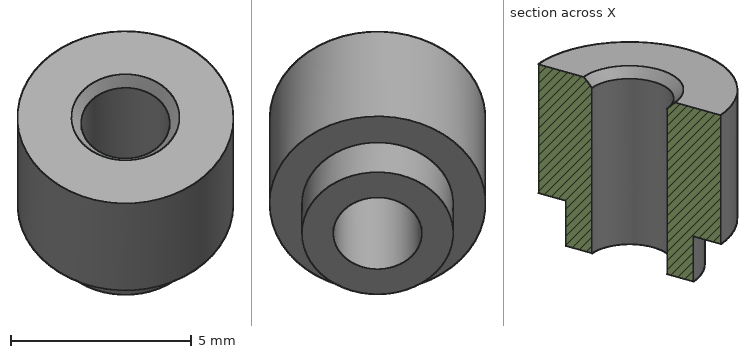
import cadquery as cq

body_diameter = 6
spigot_diameter = 4.2
bore_diameter = 2.46
bore_mouth_diameter = 3
total_height = 5.4
body_height = 4.0

spigot_height = total_height - body_height
mouth_chamfer = (bore_mouth_diameter - bore_diameter) / 2

spigot = cq.Workplane("XY").circle(spigot_diameter / 2).extrude(spigot_height)
body = (
    cq.Workplane("XY")
    .workplane(offset=spigot_height)
    .circle(body_diameter / 2)
    .extrude(body_height)
)

bore = (
    cq.Workplane("XY")
    .circle(bore_diameter / 2)
    .extrude(total_height)
)
mouth = (
    cq.Workplane("XY")
    .workplane(offset=total_height - mouth_chamfer)
    .circle(bore_diameter / 2)
    .workplane(offset=mouth_chamfer)
    .circle(bore_mouth_diameter / 2)
    .loft(ruled=True)
)

result = spigot.union(body).cut(bore).cut(mouth)